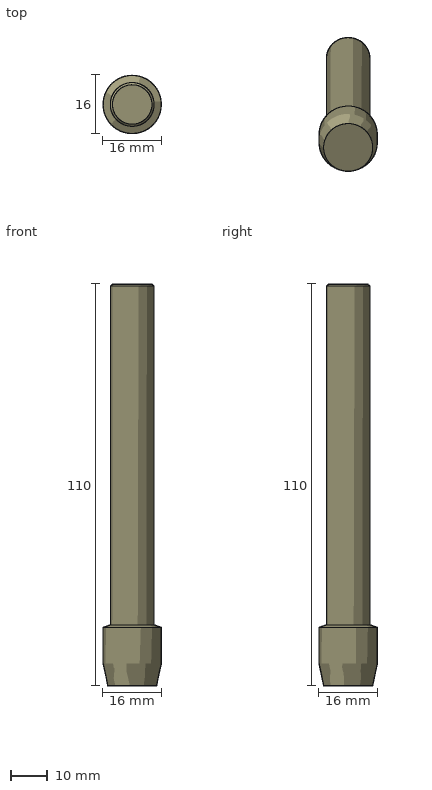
import cadquery as cq
import math

total_length = 110.0

rod_radius = 6.0
rod_chamfer = 0.6

head_radius = 8.0
taper_height = 6.0
taper_half_angle = 12.0
cylinder_height = 10.0
shoulder_height = 0.7

tip_radius = head_radius - taper_height * math.tan(math.radians(taper_half_angle))
cylinder_top = taper_height + cylinder_height
head_top = cylinder_top + shoulder_height


def make_head():
    """Turn the head about Z; its flat top has the same radius as the rod."""
    profile = [
        (0, 0),
        (tip_radius, 0),
        (head_radius, taper_height),
        (head_radius, cylinder_top),
        (rod_radius, head_top),
        (0, head_top),
    ]
    return cq.Workplane("YZ").polyline(profile).close().revolve(360, (0, 0, 0), (0, 1, 0))


def make_rod():
    """Round rod standing on the head, with a chamfered top end."""
    rod_length = total_length - head_top
    rod = cq.Workplane("XY").workplane(offset=head_top).circle(rod_radius).extrude(rod_length)
    return rod.faces(">Z").chamfer(rod_chamfer)


head = make_head()
rod = make_rod()

result = cq.Compound.makeCompound([head.val(), rod.val()])